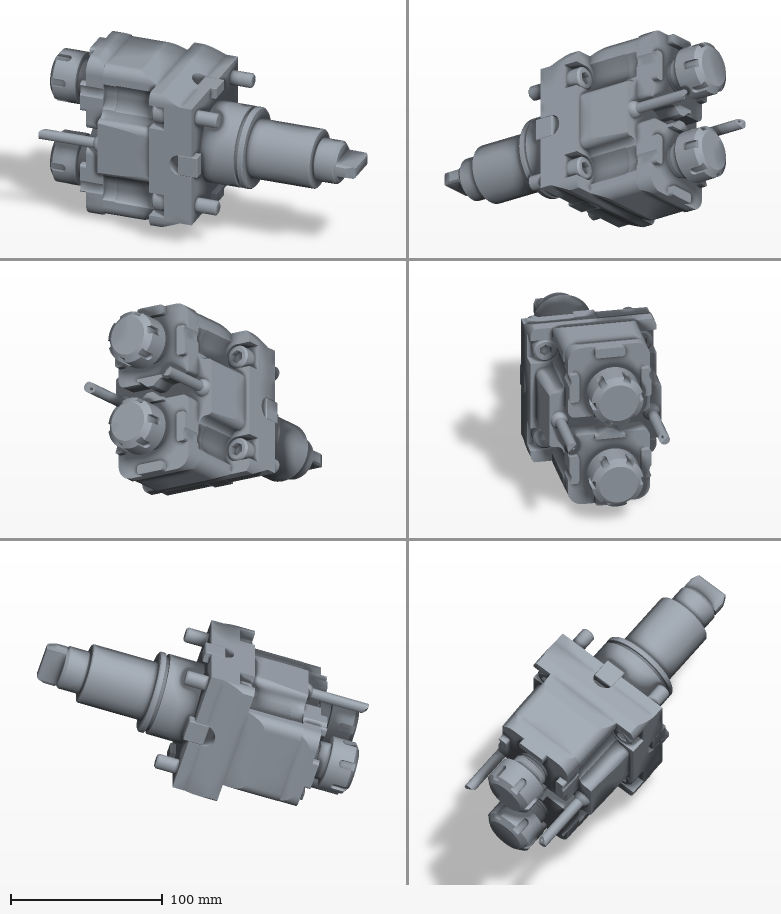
import cadquery as cq
import math


NUT_END = 19.2
COLLAR_END = 26.5
PAD_FRONT = 26.7
PLATE_FRONT = 31.0
PLATE_SLOPE_START = 36.2
BODY_FRONT = 43.0
FLANGE_FRONT = 81.4
FLANGE_BACK = 111.5
TOTAL_LENGTH = 215.3

SPINDLE_Z = 30.0
NUT_DIAMETER = 35.0
NUT_FACE_DIAMETER = 26.0
NUT_CHAMFER_LENGTH = 3.2
NUT_BACK_CHAMFER = 0.5
COLLAR_DIAMETER = 25.0
NECK_DIAMETER = 21.0
NECK_RING_DIAMETER = 22.5
NECK_RING_STARTS = (27.1, 29.0)
NECK_RING_LENGTH = 1.3
WRENCH_SLOTS = 6
WRENCH_SLOT_WIDTH = 5.4
WRENCH_SLOT_END = 12.7
WRENCH_SLOT_FLOOR = 14.9
UPPER_NUT_TURN = -7.0

HEIGHT = 115.0
PLATE_WIDTH = 55.3
PLATE_INNER_Z = 6.7
PLATE_OUTER_RADIUS = 10.0
PLATE_INNER_RADIUS = 5.0
PAD_LENGTH = 20.2
PAD_WIDTH = 6.7
PAD_RADIUS = 2.0
RIDGE_BASE_Z = 8.8
RIDGE_SHOULDER_Z = 6.2
RIDGE_SHOULDER_WIDTH = 15.0
RIDGE_TIP_Z = 2.2
RIDGE_TIP_WIDTH = 4.7
PLATE_ACCESS_DIAMETER = 11.6
PLATE_ACCESS_Z = 35.0

BODY_HEIGHT = 109.8
BODY_WIDTH = 56.2
BODY_RADIUS = 7.3
BODY_SLOPE_START = 68.2
WING_HEIGHT = 39.5
WING_WIDTH = 78.1
WING_FRONT_WIDTH = 75.3
WING_TAPER_END = 71.5
WING_RADIUS = 5.0
ACCESS_STEP_X = 51.7
ACCESS_FRONT_RADIUS = 8.2
ACCESS_REAR_RADIUS = 8.6
ACCESS_LOW_Z = 31.5
ACCESS_HIGH_Z = 35.3

FLANGE_WIDTH = 85.0
FLANGE_FRONT_HEIGHT = 97.7
FLANGE_SLOPE_START = 89.0
FLANGE_SLOPE_END = 103.1
FLANGE_CORNER_INSET = 2.5

SCREW_OFFSET = 32.0
SCREW_DIAMETER = 10.0
SCREW_END = 126.4
SCREW_CHAMFER = 1.0
HEAD_DIAMETER = 16.0
HEAD_FRONT = 81.8
HEAD_SEAT = 92.0
HEAD_CHAMFER = 1.3
SOCKET_CORNER_DIAMETER = 9.3
SOCKET_DEPTH = 5.0
SOCKET_POINT_DEPTH = 2.2
POCKET_WIDTH = 16.8

KEY_WIDTH = 14.6
KEY_FRONT = 101.6
KEY_BACK = 115.4
KEY_DEPTH = 7.5
KEY_CHAMFER = 0.5
KEYWAY_FRONT = 95.8

TUBE_Y = 31.0
TUBE_DIAMETER = 7.0
TUBE_BALL_DIAMETER = 12.0
TUBE_BALL_X = 43.5
TUBE_BEVEL_LENGTH = 3.5
TUBE_JET_DIAMETER = 2.1
TUBE_JET_DEPTH = 3.2

SPIGOT_DIAMETER = 55.0
GROOVE_DIAMETER = 50.2
GROOVE_START = 135.2
GROOVE_END = 137.8
SPIGOT_END = 141.5
SPIGOT_CHAMFER = 0.9
SHANK_DIAMETER = 40.0
SHANK_END = 185.8
SHANK_CHAMFER = 0.6
DRIVE_DIAMETER = 29.0
DRIVE_END = 202.0
DRIVE_FRONT_CHAMFER = 1.3
DRIVE_BACK_CHAMFER = 2.0
TANG_DIAMETER = 28.0
TANG_THICKNESS = 8.6
TANG_TURNED_END = 208.8
TANG_EDGE_THICKNESS = 6.5
TANG_FLAT_WIDTH = 23.3
TANG_TIP_WIDTH = 22.2
TANG_CHAMFER = 1.0
TANG_ROOT_RADIUS = 1.5

SIGNS = (1, -1)


def section(x):
    """Sketch plane across the tool at station x; its axes are Y and Z."""
    return cq.Workplane("YZ", origin=(x, 0, 0))


def cylinder(x_start, x_end, diameter, y=0.0, z=0.0):
    return section(x_start).center(y, z).circle(diameter / 2).extrude(x_end - x_start)


def box(x_range, y_range, z_range):
    corner = (x_range[0], y_range[0], z_range[0])
    size = (x_range[1] - x_range[0], y_range[1] - y_range[0], z_range[1] - z_range[0])
    return cq.Workplane("XY", origin=corner).box(*size, centered=False)


def revolved(profile):
    """Turn a list of (x, radius) points about the X axis."""
    return cq.Workplane("XY").polyline(profile).close().revolve(360, (0, 0, 0), (1, 0, 0))


def side_prism(profile, width):
    """Extrude a closed (x, z) outline symmetrically about Y = 0."""
    return cq.Workplane("XZ").polyline(profile).close().extrude(width / 2, both=True)


def mirrored_pair(shape, plane):
    return shape.union(shape.mirror(plane))


def spindle_nose():
    nut_radius = NUT_DIAMETER / 2
    nose = revolved([
        (0, 0),
        (0, NUT_FACE_DIAMETER / 2),
        (NUT_CHAMFER_LENGTH, nut_radius),
        (NUT_END - NUT_BACK_CHAMFER, nut_radius),
        (NUT_END, nut_radius - NUT_BACK_CHAMFER),
        (NUT_END, COLLAR_DIAMETER / 2),
        (COLLAR_END, COLLAR_DIAMETER / 2),
        (COLLAR_END, NECK_DIAMETER / 2),
        (PLATE_FRONT, NECK_DIAMETER / 2),
        (PLATE_FRONT, 0),
    ])
    for ring_start in NECK_RING_STARTS:
        nose = nose.union(cylinder(ring_start, ring_start + NECK_RING_LENGTH, NECK_RING_DIAMETER))

    end_radius = WRENCH_SLOT_WIDTH / 2
    slot = (
        cq.Workplane("XZ", origin=(0, -WRENCH_SLOT_FLOOR, 0))
        .moveTo(0, -end_radius)
        .lineTo(WRENCH_SLOT_END - end_radius, -end_radius)
        .threePointArc((WRENCH_SLOT_END, 0), (WRENCH_SLOT_END - end_radius, end_radius))
        .lineTo(0, end_radius)
        .close()
        .extrude(nut_radius)
    )
    for index in range(WRENCH_SLOTS):
        nose = nose.cut(slot.rotate((0, 0, 0), (1, 0, 0), index * 360 / WRENCH_SLOTS))
    return nose


def front_plate():
    half_width = PLATE_WIDTH / 2
    top = HEIGHT / 2
    plate = box((PLATE_FRONT, BODY_FRONT), (-half_width, half_width), (PLATE_INNER_Z, top))
    plate = plate.edges("|X and >Z").fillet(PLATE_OUTER_RADIUS)
    plate = plate.edges("|X and <Z").fillet(PLATE_INNER_RADIUS)
    plate = plate.intersect(side_prism([
        (PLATE_FRONT, 0),
        (PLATE_FRONT, top),
        (PLATE_SLOPE_START, top),
        (BODY_FRONT, BODY_HEIGHT / 2),
        (BODY_FRONT, 0),
    ], PLATE_WIDTH))

    pad_x = (PAD_FRONT, PLATE_FRONT)
    half_pad = PAD_LENGTH / 2
    top_pad = box(pad_x, (-half_pad, half_pad), (top - PAD_WIDTH, top))
    plate = plate.union(top_pad.edges("|X").fillet(PAD_RADIUS))
    side_pad = box(
        pad_x,
        (half_width - PAD_WIDTH, half_width),
        (SPINDLE_Z - half_pad, SPINDLE_Z + half_pad),
    ).edges("|X").fillet(PAD_RADIUS)
    plate = plate.union(mirrored_pair(side_pad, "XZ"))

    ridge = section(PAD_FRONT).polyline([
        (-half_pad, RIDGE_BASE_Z),
        (-half_pad, PLATE_INNER_Z),
        (-RIDGE_SHOULDER_WIDTH / 2, RIDGE_SHOULDER_Z),
        (-RIDGE_TIP_WIDTH / 2, RIDGE_TIP_Z),
        (RIDGE_TIP_WIDTH / 2, RIDGE_TIP_Z),
        (RIDGE_SHOULDER_WIDTH / 2, RIDGE_SHOULDER_Z),
        (half_pad, PLATE_INNER_Z),
        (half_pad, RIDGE_BASE_Z),
    ]).close().extrude(BODY_FRONT - PAD_FRONT)
    plate = plate.union(ridge)

    for side in SIGNS:
        plate = plate.cut(
            cylinder(PAD_FRONT, BODY_FRONT, PLATE_ACCESS_DIAMETER, side * SCREW_OFFSET, PLATE_ACCESS_Z)
        )
    return plate


def wing_section():
    """Wing cross-section prism, blended into the body sides by concave arcs."""
    length = FLANGE_FRONT - BODY_FRONT
    half_height = WING_HEIGHT / 2
    wing = section(BODY_FRONT).rect(WING_WIDTH, WING_HEIGHT).extrude(length)
    wing = wing.edges("|X").fillet(WING_RADIUS)
    blend_center_y = BODY_WIDTH / 2 + WING_RADIUS
    blend = box(
        (BODY_FRONT, FLANGE_FRONT),
        (0, blend_center_y),
        (0, half_height + WING_RADIUS),
    ).cut(cylinder(
        BODY_FRONT, FLANGE_FRONT, 2 * WING_RADIUS, blend_center_y, half_height + WING_RADIUS
    ))
    wing = wing.union(mirrored_pair(mirrored_pair(blend, "XZ"), "XY"))
    taper = cq.Workplane("XY").polyline([
        (BODY_FRONT, -WING_FRONT_WIDTH / 2),
        (WING_TAPER_END, -WING_WIDTH / 2),
        (FLANGE_FRONT, -WING_WIDTH / 2),
        (FLANGE_FRONT, WING_WIDTH / 2),
        (WING_TAPER_END, WING_WIDTH / 2),
        (BODY_FRONT, WING_FRONT_WIDTH / 2),
    ]).close().extrude(HEIGHT / 2, both=True)
    return wing.intersect(taper)


def access_groove(x_start, x_end, radius):
    """Obround clearance along X beside the upper +Y screw."""
    center_z = (ACCESS_LOW_Z + ACCESS_HIGH_Z) / 2
    length = ACCESS_HIGH_Z - ACCESS_LOW_Z + 2 * radius
    return (
        section(x_start).center(SCREW_OFFSET, center_z)
        .slot2D(length, 2 * radius, 90).extrude(x_end - x_start)
    )


def gear_body():
    top = BODY_HEIGHT / 2
    shoulder = FLANGE_FRONT_HEIGHT / 2
    body = section(BODY_FRONT).rect(BODY_WIDTH, BODY_HEIGHT).extrude(FLANGE_FRONT - BODY_FRONT)
    body = body.edges("|X").fillet(BODY_RADIUS)
    body = body.intersect(side_prism([
        (BODY_FRONT, -top),
        (BODY_FRONT, top),
        (BODY_SLOPE_START, top),
        (FLANGE_FRONT, shoulder),
        (FLANGE_FRONT, -shoulder),
        (BODY_SLOPE_START, -top),
    ], BODY_WIDTH))
    body = body.union(wing_section())
    groove = access_groove(BODY_FRONT, ACCESS_STEP_X, ACCESS_FRONT_RADIUS)
    groove = groove.union(access_groove(ACCESS_STEP_X, FLANGE_FRONT, ACCESS_REAR_RADIUS))
    return body.cut(mirrored_pair(mirrored_pair(groove, "XZ"), "XY"))


def flange():
    half_width = FLANGE_WIDTH / 2
    side_z = FLANGE_WIDTH / 2
    end_z = FLANGE_FRONT_HEIGHT / 2
    end_y = half_width - FLANGE_CORNER_INSET
    upper_half = (
        section(FLANGE_FRONT)
        .moveTo(half_width, 0)
        .lineTo(half_width, side_z)
        .tangentArcPoint((end_y, end_z), relative=False)
        .lineTo(0, end_z)
        .lineTo(0, 0)
        .close()
        .extrude(FLANGE_BACK - FLANGE_FRONT)
    )
    plate = mirrored_pair(mirrored_pair(upper_half, "XZ"), "XY")
    plate = plate.intersect(side_prism([
        (FLANGE_FRONT, -end_z),
        (FLANGE_FRONT, end_z),
        (FLANGE_SLOPE_START, end_z),
        (FLANGE_SLOPE_END, side_z),
        (FLANGE_BACK, side_z),
        (FLANGE_BACK, -side_z),
        (FLANGE_SLOPE_END, -side_z),
        (FLANGE_SLOPE_START, -end_z),
    ], FLANGE_WIDTH))
    pocket = box(
        (FLANGE_FRONT, HEAD_SEAT),
        (SCREW_OFFSET, FLANGE_WIDTH),
        (SCREW_OFFSET - POCKET_WIDTH / 2, SCREW_OFFSET + POCKET_WIDTH / 2),
    ).union(cylinder(FLANGE_FRONT, HEAD_SEAT, POCKET_WIDTH, SCREW_OFFSET, SCREW_OFFSET))
    return plate.cut(mirrored_pair(mirrored_pair(pocket, "XZ"), "XY"))


def mounting_screw():
    head_radius = HEAD_DIAMETER / 2
    screw_radius = SCREW_DIAMETER / 2
    screw = revolved([
        (HEAD_FRONT, 0),
        (HEAD_FRONT, head_radius - HEAD_CHAMFER),
        (HEAD_FRONT + HEAD_CHAMFER, head_radius),
        (HEAD_SEAT, head_radius),
        (HEAD_SEAT, screw_radius),
        (SCREW_END - SCREW_CHAMFER, screw_radius),
        (SCREW_END, screw_radius - SCREW_CHAMFER),
        (SCREW_END, 0),
    ])
    socket_end = HEAD_FRONT + SOCKET_DEPTH
    hexagon = section(HEAD_FRONT).transformed(rotate=(0, 0, 90))
    socket = hexagon.polygon(6, SOCKET_CORNER_DIAMETER).extrude(SOCKET_DEPTH)
    inscribed_radius = SOCKET_CORNER_DIAMETER / 2 * math.cos(math.pi / 6)
    point = revolved([
        (socket_end, 0),
        (socket_end, inscribed_radius),
        (socket_end + SOCKET_POINT_DEPTH, 0),
    ])
    return screw.cut(socket).cut(point)


def keyway():
    radius = KEY_WIDTH / 2
    top = FLANGE_WIDTH / 2
    arc_center = KEYWAY_FRONT + radius
    return (
        cq.Workplane("XY", origin=(0, 0, top - KEY_DEPTH))
        .moveTo(FLANGE_BACK, -radius)
        .lineTo(arc_center, -radius)
        .threePointArc((KEYWAY_FRONT, 0), (arc_center, radius))
        .lineTo(FLANGE_BACK, radius)
        .close()
        .extrude(HEIGHT)
    )


def key():
    top = FLANGE_WIDTH / 2
    block = box((KEY_FRONT, KEY_BACK), (-KEY_WIDTH / 2, KEY_WIDTH / 2), (top - KEY_DEPTH, top))
    return block.faces(">X or <X or >Z").edges().chamfer(KEY_CHAMFER)


def coolant_tube():
    radius = TUBE_DIAMETER / 2
    tube = cylinder(0, BODY_FRONT, TUBE_DIAMETER)
    ball = cq.Workplane("XY").sphere(TUBE_BALL_DIAMETER / 2).translate((TUBE_BALL_X, 0, 0))
    bevel = cq.Workplane("XZ").polyline([
        (0, 0),
        (0, -radius),
        (TUBE_BEVEL_LENGTH, -radius),
    ]).close().extrude(radius, both=True)
    jet_angle = math.atan2(TUBE_BEVEL_LENGTH, radius)
    jet_direction = cq.Vector(math.cos(jet_angle), 0, math.sin(jet_angle))
    jet = cq.Workplane(cq.Solid.makeCylinder(
        TUBE_JET_DIAMETER / 2,
        TUBE_JET_DEPTH,
        cq.Vector(TUBE_BEVEL_LENGTH / 2, 0, -radius / 2),
        jet_direction,
    ))
    tube = tube.union(ball).cut(bevel).cut(jet)
    return tube.rotate((0, 0, 0), (1, 0, 0), -45).translate((0, TUBE_Y, 0))


def drive_shank():
    spigot_radius = SPIGOT_DIAMETER / 2
    shank_radius = SHANK_DIAMETER / 2
    drive_radius = DRIVE_DIAMETER / 2
    return revolved([
        (FLANGE_BACK, 0),
        (FLANGE_BACK, spigot_radius),
        (GROOVE_START, spigot_radius),
        (GROOVE_START, GROOVE_DIAMETER / 2),
        (GROOVE_END, GROOVE_DIAMETER / 2),
        (GROOVE_END, spigot_radius),
        (SPIGOT_END - SPIGOT_CHAMFER, spigot_radius),
        (SPIGOT_END, spigot_radius - SPIGOT_CHAMFER),
        (SPIGOT_END, shank_radius),
        (SHANK_END - SHANK_CHAMFER, shank_radius),
        (SHANK_END, shank_radius - SHANK_CHAMFER),
        (SHANK_END, drive_radius - DRIVE_FRONT_CHAMFER),
        (SHANK_END + DRIVE_FRONT_CHAMFER, drive_radius),
        (DRIVE_END - DRIVE_BACK_CHAMFER, drive_radius),
        (DRIVE_END, drive_radius - DRIVE_BACK_CHAMFER),
        (DRIVE_END, 0),
    ])


def tang():
    half_flat = TANG_FLAT_WIDTH / 2
    half_thickness = TANG_THICKNESS / 2
    half_edge = TANG_EDGE_THICKNESS / 2
    turned_radius = TANG_DIAMETER / 2
    half_tip = TANG_TIP_WIDTH / 2
    turned = cylinder(DRIVE_END, TOTAL_LENGTH, TANG_DIAMETER)
    narrowed = cq.Workplane("XY").polyline([
        (DRIVE_END, -turned_radius),
        (TANG_TURNED_END, -turned_radius),
        (TOTAL_LENGTH, -half_tip),
        (TOTAL_LENGTH, half_tip),
        (TANG_TURNED_END, turned_radius),
        (DRIVE_END, turned_radius),
    ]).close().extrude(half_thickness, both=True)
    bevelled_bar = section(DRIVE_END).polyline([
        (half_flat, half_thickness),
        (turned_radius, half_edge),
        (turned_radius, -half_edge),
        (half_flat, -half_thickness),
        (-half_flat, -half_thickness),
        (-turned_radius, -half_edge),
        (-turned_radius, half_edge),
        (-half_flat, half_thickness),
    ]).close().extrude(TOTAL_LENGTH - DRIVE_END)
    chamfered_tip = side_prism([
        (DRIVE_END, -half_thickness),
        (DRIVE_END, half_thickness),
        (TOTAL_LENGTH - TANG_CHAMFER, half_thickness),
        (TOTAL_LENGTH, half_thickness - TANG_CHAMFER),
        (TOTAL_LENGTH, TANG_CHAMFER - half_thickness),
        (TOTAL_LENGTH - TANG_CHAMFER, -half_thickness),
    ], TANG_DIAMETER)

    root_end = DRIVE_END + TANG_ROOT_RADIUS
    root = box(
        (DRIVE_END, root_end),
        (-half_flat, half_flat),
        (half_thickness, half_thickness + TANG_ROOT_RADIUS),
    ).cut(
        cq.Workplane("XZ")
        .center(root_end, half_thickness + TANG_ROOT_RADIUS)
        .circle(TANG_ROOT_RADIUS)
        .extrude(half_flat, both=True)
    )
    blade = turned.intersect(narrowed).intersect(bevelled_bar).intersect(chamfered_tip)
    return blade.union(mirrored_pair(root, "XY"))


result = flange().union(gear_body())
result = result.union(mirrored_pair(front_plate(), "XY"))
for sign in SIGNS:
    turn = UPPER_NUT_TURN if sign > 0 else 0
    nose = spindle_nose().rotate((0, 0, 0), (1, 0, 0), turn)
    result = result.union(nose.translate((0, 0, sign * SPINDLE_Z)))

for y_sign in SIGNS:
    for z_sign in SIGNS:
        position = (0, y_sign * SCREW_OFFSET, z_sign * SCREW_OFFSET)
        result = result.union(mounting_screw().translate(position))

for quarter in range(4):
    angle = 90 * quarter
    result = result.cut(keyway().rotate((0, 0, 0), (1, 0, 0), angle))
    result = result.union(key().rotate((0, 0, 0), (1, 0, 0), angle))

for half_turn in (0, 180):
    result = result.union(coolant_tube().rotate((0, 0, 0), (1, 0, 0), half_turn))

result = result.union(drive_shank()).union(tang())